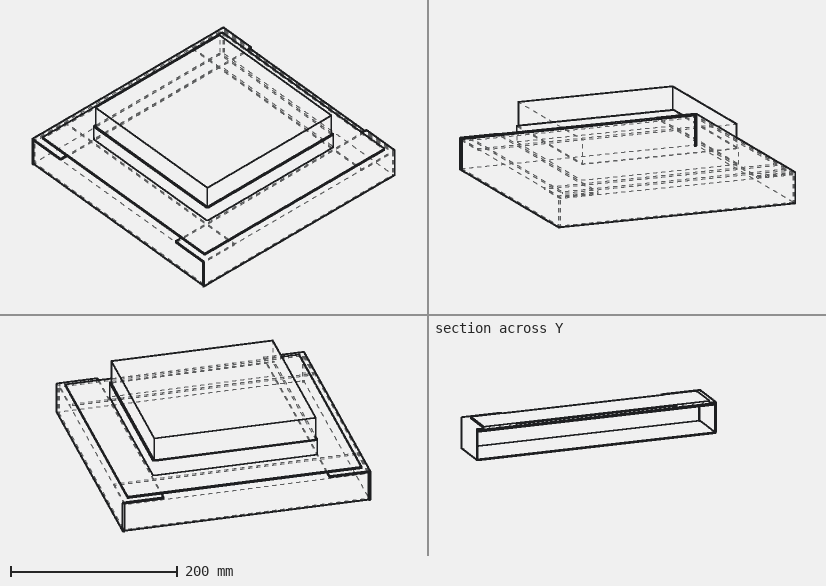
import cadquery as cq

side = 308.0
sheet = 2.0
tray_height = 40.0
flange_width = 51.0
corner_gap = 1.0

plate_side = 290.0

total_height = 91.5
block_side = 200.2
collar_height = 19.7

inner_side = side - 2 * sheet
plate_top = tray_height + sheet
collar_side = block_side + 2 * sheet
collar_top = plate_top + collar_height


def box(x_size, y_size, bottom, top):
    """Box centred on the Z axis between two heights."""
    return cq.Workplane("XY").workplane(offset=bottom).rect(x_size, y_size).extrude(top - bottom)


def folded_channel(height, length):
    """C-shaped sheet along Y: a floor, two walls and two inward flanges on top."""
    outside = box(side, length, 0, height).edges("|Y").fillet(sheet)
    cavity = box(inner_side, length, sheet, height - sheet)
    opening = box(side - 2 * flange_width, length, height - sheet, height)
    return outside.cut(cavity).cut(opening)


def make_tray():
    """Tray with its X flanges lying on top of its Y flanges and slits at the wall corners."""
    x_fold = folded_channel(tray_height, side)
    y_fold = folded_channel(tray_height - sheet, inner_side - 2 * corner_gap)
    y_fold = y_fold.rotate((0, 0, 0), (0, 0, 1), 90)
    floor_ends = box(inner_side, side, 0, sheet).cut(box(inner_side, inner_side, 0, sheet))
    return x_fold.cut(floor_ends).union(y_fold)


def make_housing():
    """Tray closed by a flat cover plate resting on the X flanges."""
    cover_plate = box(plate_side, plate_side, tray_height, plate_top)
    return make_tray().union(cover_plate)


def make_block():
    """Square block standing on the cover plate, with a round-cornered collar at its foot."""
    collar = box(collar_side, collar_side, plate_top, collar_top).edges("|Z").fillet(sheet)
    return collar.union(box(block_side, block_side, plate_top, total_height))


housing = make_housing()
block = make_block()
result = cq.Compound.makeCompound([housing.solids().val(), block.solids().val()])